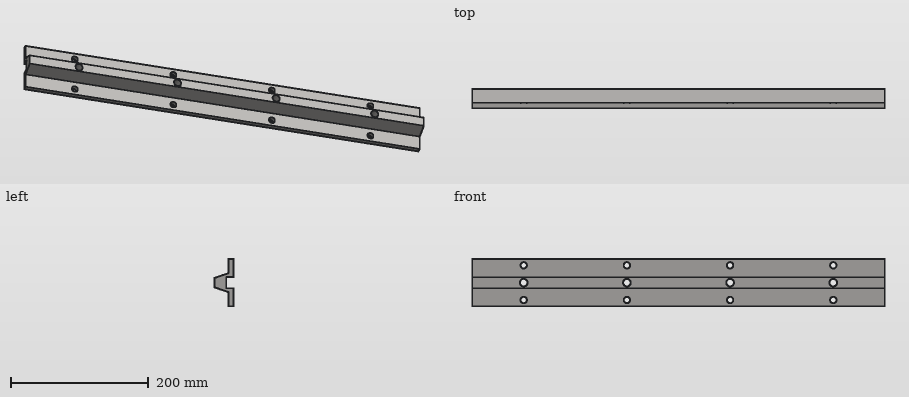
import cadquery as cq

length = 599.5
depth = 28.0
height = 69.0

flange_thickness = 8.0
groove_width = 16.0
groove_depth = 11.0
rib_base_width = 27.5
rib_crest_width = 14.0

hole_columns = 4
hole_pitch = length / hole_columns
flange_hole_diameter = 9.0
flange_hole_offset = 25.0
rib_hole_diameter = 11.0

front_y = -depth / 2
back_y = depth / 2
flange_back_y = front_y + flange_thickness
groove_floor_y = front_y + groove_depth


def make_rail():
    """Flanged profile with a tapered rear rib and a front groove."""
    upper_half = [
        (groove_floor_y, 0),
        (groove_floor_y, groove_width / 2),
        (front_y, groove_width / 2),
        (front_y, height / 2),
        (flange_back_y, height / 2),
        (flange_back_y, rib_base_width / 2),
        (back_y, rib_crest_width / 2),
        (back_y, 0),
    ]
    lower_half = [(y, -z) for y, z in reversed(upper_half[1:-1])]
    profile = cq.Workplane("YZ", origin=(-length / 2, 0, 0)).polyline(upper_half + lower_half)
    return profile.close().extrude(length)


def make_hole_row(z, diameter):
    """One row of evenly pitched cylinders crossing the full depth."""
    first_x = -(hole_columns - 1) * hole_pitch / 2
    centers = [(first_x + column * hole_pitch, z) for column in range(hole_columns)]
    plane = cq.Workplane("XZ", origin=(0, back_y, 0))
    return plane.pushPoints(centers).circle(diameter / 2).extrude(depth)


result = make_rail().cut(make_hole_row(0, rib_hole_diameter))
for side in (-1, 1):
    result = result.cut(make_hole_row(side * flange_hole_offset, flange_hole_diameter))